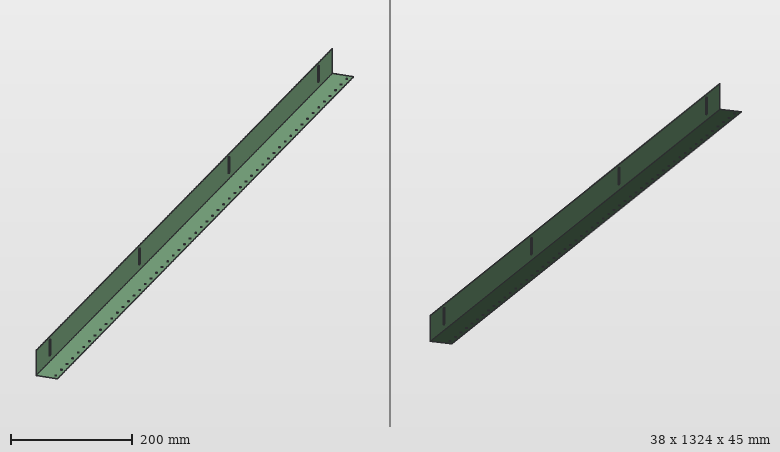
import cadquery as cq

flange_width = 38.0
length = 1324.0
web_height = 45.0
thickness = 0.8

hole_count = 53
hole_pitch = 25.0
hole_diameter = 3.0
hole_edge_distance = 7.5

slot_count = 4
slot_pitch = 400.0
slot_width = 7.0
slot_bottom = 10.0
slot_top = 40.0


def centred_row(count, pitch):
    """Positions along Y of a row centred on the middle of the part."""
    return [(i - (count - 1) / 2) * pitch for i in range(count)]


def angle_profile():
    """L-shaped bar with its outer corner on the Y axis."""
    return (
        cq.Workplane("XZ")
        .moveTo(0, 0)
        .lineTo(flange_width, 0)
        .lineTo(flange_width, thickness)
        .lineTo(thickness, thickness)
        .lineTo(thickness, web_height)
        .lineTo(0, web_height)
        .close()
        .extrude(length / 2, both=True)
    )


def flange_holes():
    """Cutters for the round holes through the flange."""
    hole_x = flange_width - hole_edge_distance
    centres = [(hole_x, y) for y in centred_row(hole_count, hole_pitch)]
    return cq.Workplane("XY").pushPoints(centres).circle(hole_diameter / 2).extrude(thickness)


def web_slots():
    """Cutters for the round-ended slots through the web."""
    slot_z = (slot_bottom + slot_top) / 2
    centres = [(y, slot_z) for y in centred_row(slot_count, slot_pitch)]
    return (
        cq.Workplane("YZ")
        .pushPoints(centres)
        .slot2D(slot_top - slot_bottom, slot_width, 90)
        .extrude(thickness)
    )


result = angle_profile().cut(flange_holes()).cut(web_slots())